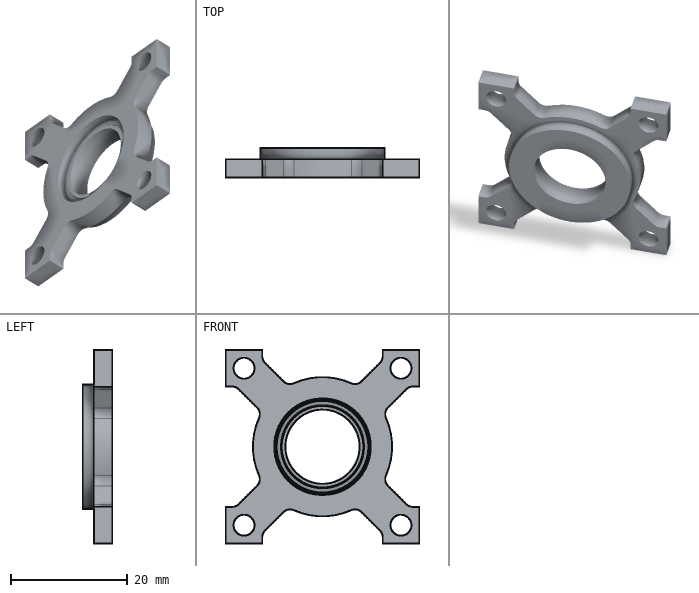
import cadquery as cq
import math


plate_side = 33.27
plate_thickness = 3.15
hub_radius = 11.98
arm_width = 6.42
lug_side = 6.32
flank_fillet = 1.6
screw_hole_diameter = 3.55
lug_offset = (plate_side - lug_side) / 2
arm_length = 2 * math.hypot(lug_offset, lug_offset)

boss_radius = 10.7
back_y = 5.1
lip_radius = 8.32
bearing_front_y = 1.13

race_radius = 9.5
race_bore_radius = 8.3

shaft_radius = 6.35
land_radius = 7.0
inner_race_radius = 7.15
inner_race_bevel_depth = 0.35

shield_recess = 0.2
shield_front_y = bearing_front_y + shield_recess
shield_flat_radius = 7.85
shield_rim_radius = 8.1
shield_slope = 0.5
shield_rim_step = 0.1

lug_centers = [(x * lug_offset, z * lug_offset) for x in (-1, 1) for z in (-1, 1)]


def front_plane(y=0.0):
    """Workplane facing -Y at the given Y, with local axes X and Z."""
    return cq.Workplane("XZ", origin=(0, y, 0))


def cylinder(radius, start_y, end_y):
    return front_plane(start_y).circle(radius).extrude(start_y - end_y)


def ring(profile):
    """Turn a closed (radius, y) profile about the Y axis."""
    return cq.Workplane("XY").polyline(profile).close().revolve(360, (0, 0, 0), (0, 1, 0))


def is_on_arm_flank(edge):
    """True for an edge lying on the straight side of an arm."""
    center = edge.Center()
    distance_from_diagonal = abs(abs(center.x) - abs(center.z)) / math.sqrt(2)
    return math.isclose(distance_from_diagonal, arm_width / 2, abs_tol=0.003)


def make_plate():
    plate = cylinder(hub_radius, 0, plate_thickness)
    for angle in (45, 135):
        arm = front_plane().transformed(rotate=(0, 0, angle)).rect(arm_length, arm_width)
        plate = plate.union(arm.extrude(-plate_thickness))
    lugs = front_plane().pushPoints(lug_centers).rect(lug_side, lug_side).extrude(-plate_thickness)
    plate = plate.union(lugs)

    corners = [edge for edge in plate.edges("|Y").vals() if is_on_arm_flank(edge)]
    plate = plate.newObject(corners).fillet(flank_fillet)

    screw_holes = front_plane().pushPoints(lug_centers).circle(screw_hole_diameter / 2)
    return plate.cut(screw_holes.extrude(-plate_thickness))


def make_mount():
    boss = cylinder(boss_radius, plate_thickness, back_y)
    lip_opening = cylinder(lip_radius, 0, bearing_front_y)
    bearing_pocket = cylinder(race_radius, bearing_front_y, back_y)
    return make_plate().union(boss).cut(lip_opening).cut(bearing_pocket)


def make_outer_race():
    return ring([
        (race_bore_radius, bearing_front_y),
        (race_radius, bearing_front_y),
        (race_radius, back_y),
        (race_bore_radius, back_y),
    ])


def make_shield():
    edge_bottom_y = shield_front_y + shield_slope * (shield_rim_radius - shield_flat_radius)
    rim_top_y = edge_bottom_y - shield_rim_step
    rim_bottom_y = rim_top_y + shield_slope * (race_bore_radius - shield_rim_radius)
    return ring([
        (inner_race_radius, shield_front_y),
        (shield_flat_radius, shield_front_y),
        (shield_rim_radius, edge_bottom_y),
        (shield_rim_radius, rim_top_y),
        (race_bore_radius, rim_bottom_y),
        (race_bore_radius, back_y),
        (inner_race_radius, back_y),
    ])


def make_inner_race():
    return ring([
        (shaft_radius, bearing_front_y),
        (land_radius, bearing_front_y),
        (inner_race_radius, bearing_front_y + inner_race_bevel_depth),
        (inner_race_radius, back_y),
        (shaft_radius, back_y),
    ])


mount = make_mount()
outer_race = make_outer_race()
shield = make_shield()
inner_race = make_inner_race()

result = cq.Compound.makeCompound([
    mount.solids().val(),
    outer_race.val(),
    shield.val(),
    inner_race.val(),
])